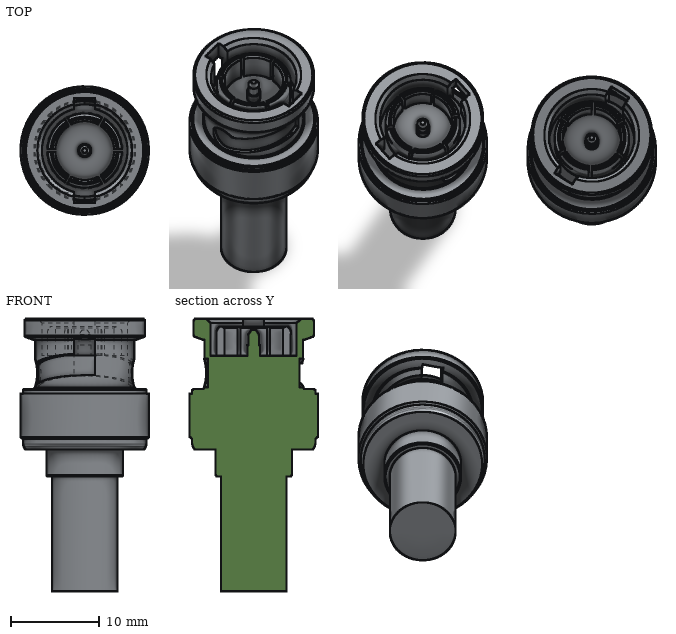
import cadquery as cq
import math


total_height = 30.95

head_radius = 6.87
head_top_chamfer = 0.22
head_edge_bottom = total_height - 1.92
head_bevel_drop = 0.15
head_bevel_inset = 0.15
head_bottom = total_height - 2.4
head_bottom_radius = 5.75

neck_radius = 5.63
neck_foot_flare = 0.15
neck_foot_height = 0.12

collar_radius = 7.3
collar_lip_radius = 7.03
collar_top = total_height - 7.95
collar_lip_chamfer = 0.15
grip_top = total_height - 8.5
grip_bottom = total_height - 13.43
grip_bevel_drop = 0.22
collar_foot_top = total_height - 14.2
collar_foot_bevel = 0.28
collar_foot_bevel_inset = 0.05
collar_bottom = total_height - 14.85
collar_bottom_radius = 6.75

shoulder_radius = 4.35
shoulder_bottom = 13.03
shoulder_chamfer = 0.15
ferrule_radius = 3.75

bore_radius = 4.85
bore_mouth_radius = 5.4
bore_mouth_depth = 0.45
bore_floor = total_height - 4.18

sleeve_outer_radius = 4.2
sleeve_inner_radius = 3.35
sleeve_top = total_height - 0.87
sleeve_crest_outer_radius = 3.85
sleeve_crest_inner_radius = 3.62
sleeve_round_drop = 0.93
sleeve_inner_bevel_drop = 0.2
sleeve_slit_width = 0.37
sleeve_slit_count = 6

pin_base_radius = 0.75
pin_radius = 0.62
pin_tip_radius = 0.28
pin_step = total_height - 3.0
pin_shoulder = total_height - 1.75
pin_top = total_height - 1.27

core_radius = 5.23
slot_width = 2.38
entry_reach = 5.97
entry_bottom = total_height - 6.4
ramp_angle = 14.0
detent_radius = 1.6
detent_height = total_height - 6.15

clearance = 0.3

root_depth = 0.3


def make_barrel():
    """Revolved outer body, without the bore."""
    outline = (
        cq.Workplane("XZ")
        .lineTo(ferrule_radius, 0)
        .lineTo(ferrule_radius, shoulder_bottom)
        .lineTo(shoulder_radius - shoulder_chamfer, shoulder_bottom)
        .lineTo(shoulder_radius, shoulder_bottom + shoulder_chamfer)
        .lineTo(shoulder_radius, collar_bottom)
        .lineTo(collar_bottom_radius, collar_bottom)
        .lineTo(collar_lip_radius - collar_foot_bevel_inset, collar_foot_top - collar_foot_bevel)
        .lineTo(collar_lip_radius, collar_foot_top)
        .lineTo(collar_lip_radius, grip_bottom - grip_bevel_drop)
        .lineTo(collar_radius, grip_bottom)
        .lineTo(collar_radius, grip_top)
        .lineTo(collar_lip_radius, grip_top)
        .lineTo(collar_lip_radius, collar_top - collar_lip_chamfer)
        .lineTo(collar_lip_radius - collar_lip_chamfer, collar_top)
        .lineTo(neck_radius + neck_foot_flare, collar_top)
        .lineTo(neck_radius, collar_top + neck_foot_height)
        .lineTo(neck_radius, head_bottom)
        .lineTo(head_bottom_radius, head_bottom)
        .lineTo(head_radius - head_bevel_inset, head_edge_bottom - head_bevel_drop)
        .lineTo(head_radius, head_edge_bottom)
        .lineTo(head_radius, total_height - head_top_chamfer)
        .lineTo(head_radius - head_top_chamfer, total_height)
        .lineTo(0, total_height)
        .close()
    )
    return outline.revolve(360, (0, 0), (0, 1))


def make_bore():
    """Bore with its conical mouth."""
    outline = (
        cq.Workplane("XZ")
        .moveTo(0, bore_floor)
        .lineTo(bore_radius, bore_floor)
        .lineTo(bore_radius, total_height - bore_mouth_depth)
        .lineTo(bore_mouth_radius, total_height)
        .lineTo(0, total_height)
        .close()
    )
    return outline.revolve(360, (0, 0), (0, 1))


def make_bayonet_slot():
    """Slot entered on the -Y side and running to a detent on the -X side."""
    entry = (
        cq.Workplane("XY", origin=(0, 0, entry_bottom))
        .rect(slot_width, entry_reach, centered=(True, False))
        .extrude(total_height + clearance - entry_bottom)
        .mirror("XZ")
    )
    reach = neck_radius + clearance
    tilt = math.radians(ramp_angle)
    slope = math.tan(tilt)
    ramp_height = slot_width / math.cos(tilt)
    lower_edge_at_detent = detent_height - detent_radius / math.cos(tilt)
    start_y = detent_radius * math.sin(tilt)
    low_start = lower_edge_at_detent + start_y * slope
    low_end = lower_edge_at_detent + reach * slope
    ramp = (
        cq.Workplane("YZ")
        .moveTo(-start_y, low_start)
        .lineTo(-reach, low_end)
        .lineTo(-reach, low_end + ramp_height)
        .lineTo(-start_y, low_start + ramp_height)
        .close()
        .extrude(-reach)
    )
    detent = cq.Workplane("YZ").center(0, detent_height).circle(detent_radius).extrude(-reach)
    core = cq.Workplane("XY").circle(core_radius).extrude(bore_floor)
    return entry.union(ramp).union(detent).cut(core)


def make_sleeve():
    """Contact sleeve with a rounded rim, split into fingers by radial slits."""
    midway = math.sqrt(0.5)
    rim_round_width = sleeve_outer_radius - sleeve_crest_outer_radius
    rim_round_mid = (
        sleeve_crest_outer_radius + rim_round_width * midway,
        sleeve_top - sleeve_round_drop * (1 - midway),
    )
    root = bore_floor - root_depth
    sleeve = (
        cq.Workplane("XZ")
        .moveTo(sleeve_inner_radius, root)
        .lineTo(sleeve_outer_radius, root)
        .lineTo(sleeve_outer_radius, sleeve_top - sleeve_round_drop)
        .threePointArc(rim_round_mid, (sleeve_crest_outer_radius, sleeve_top))
        .lineTo(sleeve_crest_inner_radius, sleeve_top)
        .lineTo(sleeve_inner_radius, sleeve_top - sleeve_inner_bevel_drop)
        .close()
        .revolve(360, (0, 0), (0, 1))
    )
    slit = (
        cq.Workplane("XY", origin=(0, 0, bore_floor))
        .rect(bore_radius, sleeve_slit_width, centered=(False, True))
        .extrude(total_height - bore_floor)
    )
    for index in range(sleeve_slit_count):
        sleeve = sleeve.cut(slit.rotate((0, 0, 0), (0, 0, 1), index * 360 / sleeve_slit_count))
    return sleeve


def make_pin():
    """Stepped centre pin with a conical tip."""
    root = bore_floor - root_depth
    return (
        cq.Workplane("XZ")
        .moveTo(0, root)
        .lineTo(pin_base_radius, root)
        .lineTo(pin_base_radius, pin_step)
        .lineTo(pin_radius, pin_step)
        .lineTo(pin_radius, pin_shoulder)
        .lineTo(pin_tip_radius, pin_top)
        .lineTo(0, pin_top)
        .close()
        .revolve(360, (0, 0), (0, 1))
    )


slot = make_bayonet_slot()
opposite_slot = slot.rotate((0, 0, 0), (0, 0, 1), 180)
shell = make_barrel().cut(make_bore()).cut(slot).cut(opposite_slot)
result = shell.union(make_sleeve()).union(make_pin())